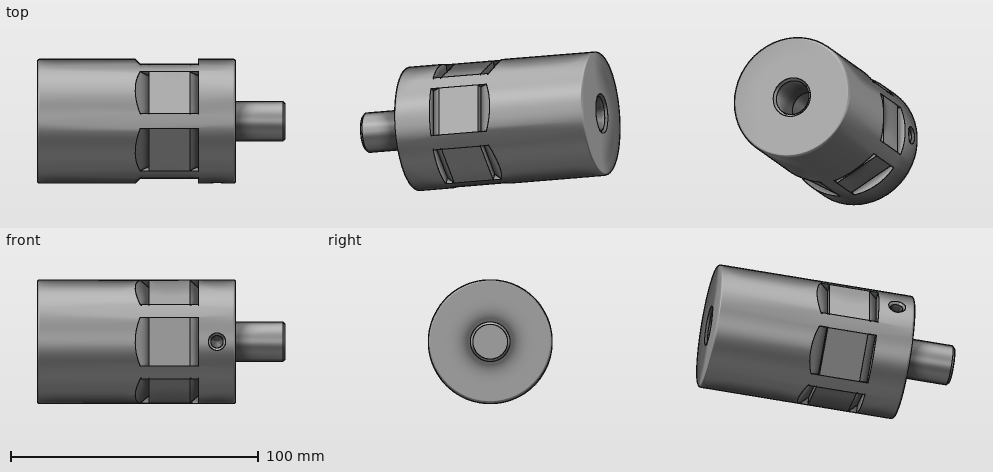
import cadquery as cq
import math

overall_length = 100.0
body_length = 80.0
body_diameter = 50.0
body_radius = body_diameter / 2
body_edge_fillet = 1.0
shaft_diameter = 16.0
shaft_chamfer = 1.0

socket_diameter = 14.0
socket_mouth_diameter = shaft_diameter
socket_depth = 20.0
countersink_angle = 45.0

drill_tip_angle = 118.0

window_count = 6
cutter_clearance = 1.0
window_end = 65.0
notch_pitch = 20.0
notch_length = 3.5
flat_distance = 23.0
window_half_width = math.sqrt(body_radius**2 - flat_distance**2)

screw_hole_diameter = 5.0
screw_mouth_chamfer = 1.0
screw_hole_from_shoulder = 7.5
screw_hole_depth = 10.0


def pointed_hole(diameter, depth):
    """Cutter for a drilled blind hole with its mouth at the origin, pointing along +Y."""
    radius = diameter / 2
    tip_length = radius / math.tan(math.radians(drill_tip_angle / 2))
    profile = [
        (0, 0),
        (radius, 0),
        (radius, depth),
        (0, depth + tip_length),
    ]
    return cq.Workplane("XY").polyline(profile).close().revolve(360, (0, 0, 0), (0, 1, 0))


def make_body():
    """Cylindrical body with both rims rounded."""
    body = cq.Workplane("YZ").circle(body_radius).extrude(body_length)
    return body.faces("<X or >X").fillet(body_edge_fillet)


def make_shaft():
    """Shaft projecting from the +X end of the body."""
    shaft_length = overall_length - body_length
    shaft = cq.Workplane("YZ", origin=(body_length, 0, 0)).circle(shaft_diameter / 2).extrude(shaft_length)
    return shaft.faces(">X").chamfer(shaft_chamfer)


def make_socket():
    """Cutter for the socket, with a conical countersink at its mouth."""
    hole = pointed_hole(socket_diameter, socket_depth).rotate((0, 0, 0), (0, 0, 1), -90)
    countersink_depth = (socket_mouth_diameter - socket_diameter) / 2
    mouth = cq.Workplane("YZ").circle(socket_mouth_diameter / 2)
    countersink = mouth.extrude(countersink_depth, taper=countersink_angle)
    return hole.union(countersink)


def make_window():
    """Cutter for the window facing -Y, with both notches sloping inwards towards +X."""
    second_notch_start = window_end - notch_length
    first_notch_start = second_notch_start - notch_pitch
    first_notch_end = first_notch_start + notch_length
    notch_floor = flat_distance - notch_length
    outside = body_radius + cutter_clearance
    ramp_rise = outside - flat_distance
    section = [
        (first_notch_start - ramp_rise, -outside),
        (first_notch_end, -notch_floor),
        (first_notch_end, -flat_distance),
        (second_notch_start, -flat_distance),
        (window_end, -notch_floor),
        (window_end, -outside),
    ]
    return cq.Workplane("XY").polyline(section).close().extrude(window_half_width, both=True)


def add_screw_hole(part):
    """Drill the screw hole into the -Y side and chamfer the edge of its mouth."""
    center_x = body_length - screw_hole_from_shoulder
    radius = screw_hole_diameter / 2
    hole = pointed_hole(screw_hole_diameter, screw_hole_depth).translate((center_x, -body_radius, 0))
    mouth_region = cq.selectors.BoxSelector(
        (center_x - radius, -body_radius, -radius),
        (center_x + radius, -body_radius + radius, radius),
    )
    return part.cut(hole).edges(mouth_region).chamfer(screw_mouth_chamfer)


result = make_body().union(make_shaft()).cut(make_socket())
for index in range(window_count):
    angle = index * 360 / window_count
    result = result.cut(make_window().rotate((0, 0, 0), (1, 0, 0), angle))
result = add_screw_hole(result)